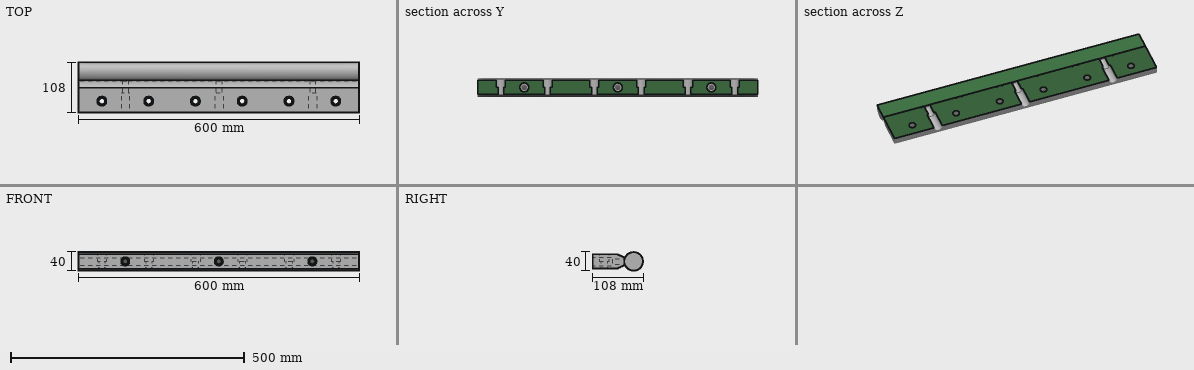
import cadquery as cq
import math

length = 600.0
total_width = 108.0

shaft_diameter = 40.0
shaft_radius = shaft_diameter / 2

rail_height = 30.5
rail_flat_width = 53.5
neck_height = 15.5
rail_front = shaft_radius - total_width
shoulder_y = rail_front + rail_flat_width
neck_y = -math.sqrt(shaft_radius**2 - (neck_height / 2) ** 2)

mount_count = 6
mount_pitch = length / mount_count
mount_setback = 24.5
mount_diameter = 13.0
mount_bore_diameter = 20.0
mount_bore_depth = 15.0

fixing_count = 3
fixing_pitch = length / fixing_count
fixing_diameter = 12.0
fixing_bore_diameter = 18.0
fixing_bore_depth = 42.0


def row_positions(count, pitch):
    """X positions of a row of holes centred on the rail."""
    return [(i - (count - 1) / 2) * pitch for i in range(count)]


def cylinder(diameter, depth, start, direction):
    return cq.Solid.makeCylinder(diameter / 2, depth, cq.Vector(*start), cq.Vector(*direction))


def make_shaft():
    return cq.Workplane(cylinder(shaft_diameter, length, (-length / 2, 0, 0), (1, 0, 0)))


def make_rail_blank():
    """Rail profile with a concave seat that fits the shaft."""
    return (
        cq.Workplane("YZ", origin=(-length / 2, 0, 0))
        .moveTo(rail_front, -rail_height / 2)
        .lineTo(shoulder_y, -rail_height / 2)
        .lineTo(neck_y, -neck_height / 2)
        .threePointArc((-shaft_radius, 0), (neck_y, neck_height / 2))
        .lineTo(shoulder_y, rail_height / 2)
        .lineTo(rail_front, rail_height / 2)
        .close()
        .extrude(length)
    )


def cut_mounting_holes(rail):
    """Counterbored holes through the rail from its top face."""
    for x in row_positions(mount_count, mount_pitch):
        start = (x, rail_front + mount_setback, rail_height / 2)
        down = (0, 0, -1)
        rail = rail.cut(cylinder(mount_diameter, rail_height, start, down))
        rail = rail.cut(cylinder(mount_bore_diameter, mount_bore_depth, start, down))
    return rail


def cut_fixing_holes(rail):
    """Counterbored holes through the rail from its front face to the shaft seat."""
    for x in row_positions(fixing_count, fixing_pitch):
        start = (x, rail_front, 0)
        inward = (0, 1, 0)
        rail = rail.cut(cylinder(fixing_diameter, total_width, start, inward))
        rail = rail.cut(cylinder(fixing_bore_diameter, fixing_bore_depth, start, inward))
    return rail


shaft = make_shaft()
rail = cut_fixing_holes(cut_mounting_holes(make_rail_blank()))

result = cq.Compound.makeCompound([shaft.val(), *rail.solids().vals()])